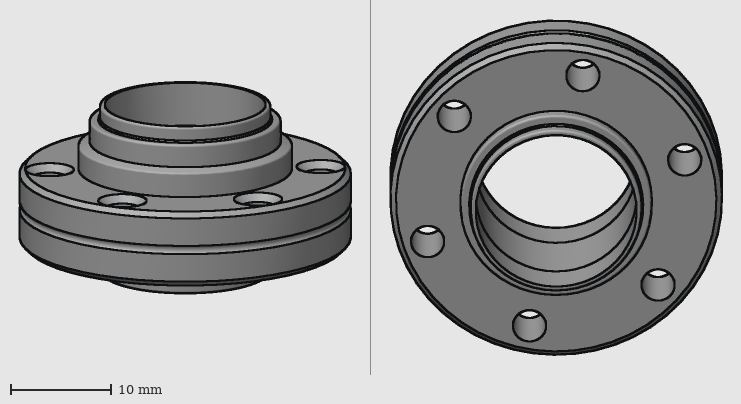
import cadquery as cq
import math

total_height = 17.2
bore_diameter = 16.0

tube_diameter = 17.0
tube_length = 4.42
tube_exposed = 1.52
tube_edge_round = 0.25

sleeve_diameter = 19.05
sleeve_edge_round = 0.25
bead_width = 0.15
bead_height = 0.2

flange_diameter = 33.02
flange_bottom = 2.97
flange_thickness = 7.65
flange_chamfer = 0.55
groove_width = 0.85
groove_depth = 0.2

collar_diameter = 21.3
collar_height = 2.4
collar_cone_rise = 0.35
collar_edge_round = 0.25

bolt_count = 6
bolt_circle_radius = 13.5
bolt_hole_diameter = 3.3
countersink_diameter = 4.82

bore_radius = bore_diameter / 2
tube_radius = tube_diameter / 2
sleeve_radius = sleeve_diameter / 2
flange_radius = flange_diameter / 2
collar_radius = collar_diameter / 2
sleeve_bottom = tube_exposed
sleeve_top = total_height - tube_exposed
flange_top = flange_bottom + flange_thickness


def revolve_profile(profile):
    """Revolve a closed (radius, height) profile around Z."""
    return profile.close().revolve(360, (0, 0, 0), (0, 1, 0))


def ring(outer_radius, inner_radius, bottom, height):
    return (
        cq.Workplane("XY")
        .workplane(offset=bottom)
        .circle(outer_radius)
        .circle(inner_radius)
        .extrude(height)
    )


def make_tube(bottom, outer_end):
    """End tube with a rounded outer rim at its exposed end (">Z" or "<Z")."""
    tube = ring(tube_radius, bore_radius, bottom, tube_length)
    return tube.faces(outer_end).edges(cq.selectors.RadiusNthSelector(-1)).fillet(tube_edge_round)


def make_sleeve():
    """Sleeve with a tube seat in each end and a tapered bead around each tube."""
    bead_radius = tube_radius + bead_width
    sleeve = ring(sleeve_radius, bore_radius, tube_length, total_height - 2 * tube_length)
    body = ring(sleeve_radius, tube_radius, sleeve_bottom, sleeve_top - sleeve_bottom)
    for end_face in (">Z", "<Z"):
        outer_rim = body.faces(end_face).edges(cq.selectors.RadiusNthSelector(-1))
        body = outer_rim.fillet(sleeve_edge_round)
    sleeve = sleeve.union(body)
    for end, outward in ((sleeve_bottom, -1), (sleeve_top, 1)):
        bead = revolve_profile(
            cq.Workplane("XZ")
            .moveTo(tube_radius, end)
            .lineTo(bead_radius, end)
            .lineTo(tube_radius, end + outward * bead_height)
        )
        sleeve = sleeve.union(bead)
    return sleeve


def cut_bolt_holes(flange):
    countersink_depth = (countersink_diameter - bolt_hole_diameter) / 2
    for index in range(bolt_count):
        angle = 2 * math.pi * index / bolt_count
        center = cq.Vector(
            bolt_circle_radius * math.cos(angle),
            bolt_circle_radius * math.sin(angle),
            flange_bottom,
        )
        hole = cq.Solid.makeCylinder(bolt_hole_diameter / 2, flange_thickness, center)
        countersink = cq.Solid.makeCone(
            bolt_hole_diameter / 2,
            countersink_diameter / 2,
            countersink_depth,
            center + cq.Vector(0, 0, flange_thickness - countersink_depth),
        )
        flange = flange.cut(hole).cut(countersink)
    return flange


def make_flange():
    """Chamfered flange with a round groove at mid-height and a cone-topped collar."""
    flange_middle = flange_bottom + flange_thickness / 2
    collar_rim = flange_top + collar_height
    plate = ring(flange_radius, sleeve_radius, flange_bottom, flange_thickness)
    for end_face in (">Z", "<Z"):
        outer_rim = plate.faces(end_face).edges(cq.selectors.RadiusNthSelector(-1))
        plate = outer_rim.chamfer(flange_chamfer)

    groove = revolve_profile(
        cq.Workplane("XZ")
        .moveTo(flange_radius, flange_middle - groove_width / 2)
        .threePointArc(
            (flange_radius - groove_depth, flange_middle),
            (flange_radius, flange_middle + groove_width / 2),
        )
    )

    collar = ring(collar_radius, sleeve_radius, flange_top, collar_height)
    cone = revolve_profile(
        cq.Workplane("XZ")
        .moveTo(sleeve_radius, collar_rim)
        .lineTo(collar_radius, collar_rim)
        .lineTo(sleeve_radius, collar_rim + collar_cone_rise)
    )
    collar = collar.union(cone)
    rim_edges = collar.edges(cq.selectors.RadiusNthSelector(-1)).edges(">Z")
    collar = rim_edges.fillet(collar_edge_round)

    return cut_bolt_holes(plate.cut(groove).union(collar))


lower_tube = make_tube(0, "<Z")
upper_tube = make_tube(total_height - tube_length, ">Z")
sleeve = make_sleeve()
flange = make_flange()

result = cq.Compound.makeCompound([lower_tube.val(), upper_tube.val(), sleeve.val(), flange.val()])